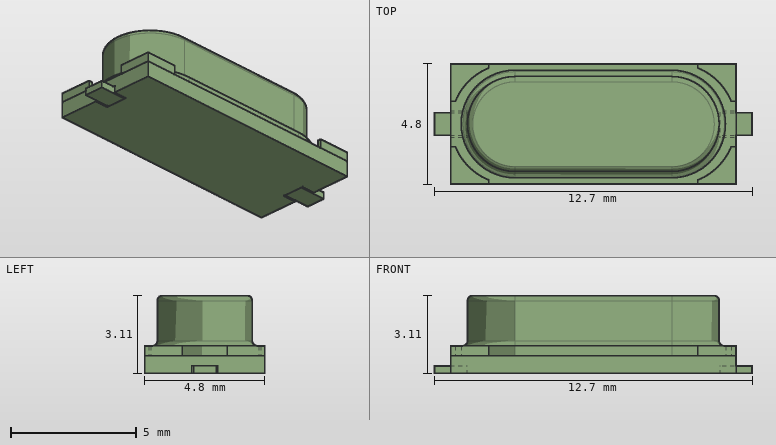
import cadquery as cq

OVERALL_LENGTH = 12.7
BASE_LENGTH = 11.4
BASE_WIDTH = 4.8
BASE_THICKNESS = 0.7

OVERALL_HEIGHT = 3.11
CAN_LENGTH = 10.06
CAN_WIDTH = 3.8
FLANGE_OVERHANG = 0.25
FLANGE_THICKNESS = 0.41
CAN_FILLET = 0.2

CORNER_LENGTH = 1.52
CORNER_WIDTH = 1.5
CORNER_ARC_RADIUS = 2.41
CORNER_ARC_CENTER_X = 3.28

LEAD_WIDTH = 0.9
LEAD_THICKNESS = 0.3
SLOT_SIDE_GAP = 0.08
LEAD_OUTSIDE = (OVERALL_LENGTH - BASE_LENGTH) / 2
LEAD_INSIDE = LEAD_OUTSIDE


def make_base():
    """Flat plate with an open slot under each end for a lead."""
    base = cq.Workplane("XY").box(BASE_LENGTH, BASE_WIDTH, BASE_THICKNESS, centered=(True, True, False))
    slot_width = LEAD_WIDTH + 2 * SLOT_SIDE_GAP
    for side in (-1, 1):
        slot = (
            cq.Workplane("XY")
            .center(side * (BASE_LENGTH - LEAD_INSIDE) / 2, 0)
            .rect(LEAD_INSIDE, slot_width)
            .extrude(LEAD_THICKNESS)
        )
        base = base.cut(slot)
    return base


def make_can():
    """Rounded-end cover with a flange, filleted at the flange and around the top."""
    flange_length = CAN_LENGTH + 2 * FLANGE_OVERHANG
    flange_width = CAN_WIDTH + 2 * FLANGE_OVERHANG
    flange = (
        cq.Workplane("XY", origin=(0, 0, BASE_THICKNESS))
        .slot2D(flange_length, flange_width)
        .extrude(FLANGE_THICKNESS)
    )
    flange_top = BASE_THICKNESS + FLANGE_THICKNESS
    cover = (
        cq.Workplane("XY", origin=(0, 0, flange_top))
        .slot2D(CAN_LENGTH, CAN_WIDTH)
        .extrude(OVERALL_HEIGHT - flange_top)
    )
    can = flange.union(cover)
    can = can.faces(">Z").edges().fillet(CAN_FILLET)
    cover_foot = cq.selectors.NearestToPointSelector((0, CAN_WIDTH / 2, flange_top))
    return can.edges(cover_foot).fillet(CAN_FILLET)


def make_corner_block(side_x, side_y):
    """Rectangular block, flush with a base corner, as tall as the flange and cut by an arc that clears it."""
    block = (
        cq.Workplane("XY", origin=(0, 0, BASE_THICKNESS))
        .center(side_x * (BASE_LENGTH - CORNER_LENGTH) / 2, side_y * (BASE_WIDTH - CORNER_WIDTH) / 2)
        .rect(CORNER_LENGTH, CORNER_WIDTH)
        .extrude(FLANGE_THICKNESS)
    )
    clearance = (
        cq.Workplane("XY", origin=(side_x * CORNER_ARC_CENTER_X, 0, BASE_THICKNESS))
        .circle(CORNER_ARC_RADIUS)
        .extrude(FLANGE_THICKNESS)
    )
    return block.cut(clearance)


def make_lead(side):
    """Flat lead that starts in the base slot and sticks out past the base end."""
    lead_length = LEAD_INSIDE + LEAD_OUTSIDE
    return (
        cq.Workplane("XY")
        .center(side * (OVERALL_LENGTH - lead_length) / 2, 0)
        .rect(lead_length, LEAD_WIDTH)
        .extrude(LEAD_THICKNESS)
    )


base = make_base()
can = make_can()
corner_blocks = [make_corner_block(side_x, side_y) for side_x in (-1, 1) for side_y in (-1, 1)]
leads = [make_lead(side) for side in (-1, 1)]

result = cq.Compound.makeCompound(
    [
        base.val(),
        can.val(),
        *[block.val() for block in corner_blocks],
        *[lead.val() for lead in leads],
    ]
)